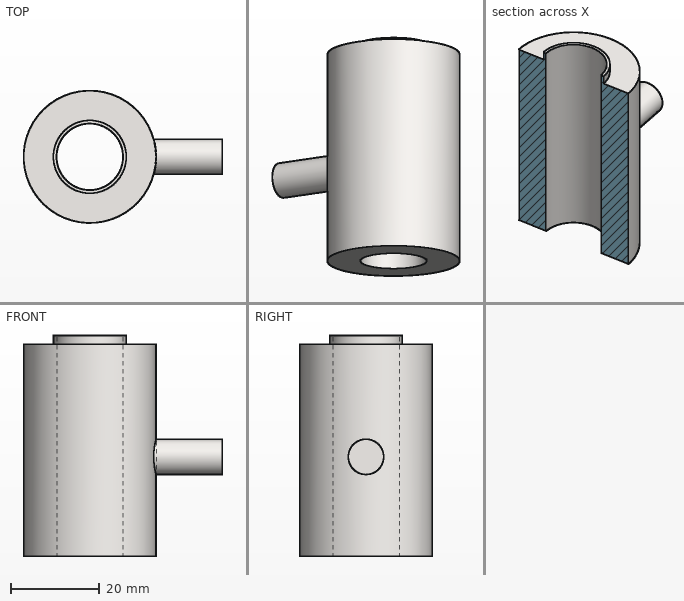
import cadquery as cq

total_height = 50.0
barrel_diameter = 30.0
collar_diameter = 16.5
collar_height = 2.0
bore_diameter = 15.0
barrel_height = total_height - collar_height

stub_diameter = 8.0
stub_axis_height = 22.5
stub_end_x = 30.0


def make_barrel():
    """Plain outer cylinder of the housing, standing on the XY plane."""
    return cq.Workplane("XY").circle(barrel_diameter / 2).extrude(barrel_height)


def make_housing():
    """Barrel and top collar, bored through along Z."""
    collar = cq.Workplane("XY").circle(collar_diameter / 2).extrude(total_height)
    bore = cq.Workplane("XY").circle(bore_diameter / 2).extrude(total_height)
    return make_barrel().union(collar).cut(bore)


def make_stub():
    """Radial rod whose inner end is shaped to sit against the barrel wall."""
    rod = (
        cq.Workplane("YZ")
        .center(0, stub_axis_height)
        .circle(stub_diameter / 2)
        .extrude(stub_end_x)
    )
    return rod.cut(make_barrel())


housing = make_housing()
stub = make_stub()

result = cq.Compound.makeCompound([housing.solids().val(), stub.solids().val()])